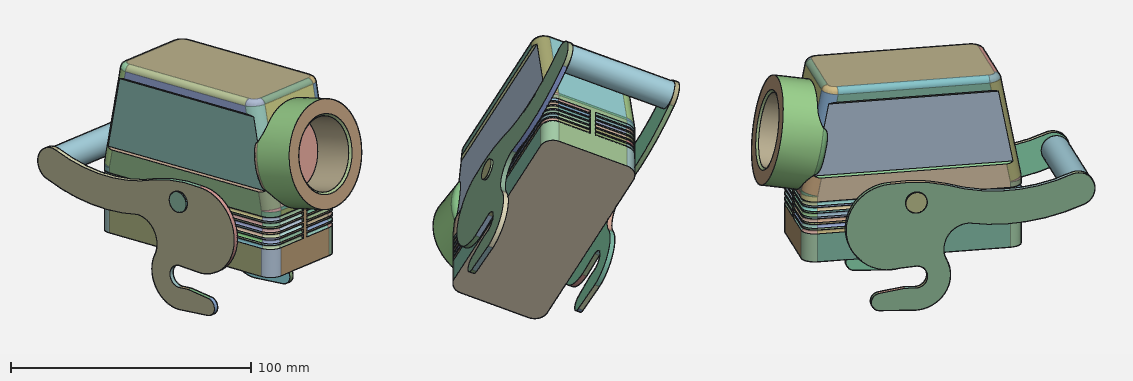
import cadquery as cq
import math


BODY_LENGTH = 93.7
BODY_WIDTH = 43.1
BODY_HEIGHT = 76.2
TAPER_START = 29.6
TAPER_ANGLE = 11.1
BEND_RADIUS = 6.9
CORNER_RADIUS = 5.8
TOP_RADIUS = 2.6

PANEL_BOTTOM = 37.1
PANEL_TOP = 70.2
PANEL_DEPTH = 0.8

GROOVE_COUNT = 6
LOWEST_GROOVE_Z = 13.3
GROOVE_PITCH = 2.5
GROOVE_RADIUS = 0.8
END_RIB_WIDTH = 2.5

ENTRY_TILT = 11.3
ENTRY_X = 57.8
ENTRY_Z = 52.1
ENTRY_RADIUS = 23.1
ENTRY_LENGTH = 20.6
ENTRY_BACK_RADIUS = 2.9
BORE_RADIUS = 16.0
BORE_DEPTH = 18.0
BORE_CHAMFER = 1.0

PIVOT_Z = 24.8
PLATE_OUTER_Y = 25.8
PLATE_THICKNESS = 2.2
PIN_RADIUS = 2.5
PIN_HEAD_RADIUS = 4.6
PIN_HEAD_OUTER_Y = 26.6
BAR_X = -70.1
BAR_RADIUS = 6.1

GRIP_CENTER = (-68.9, 0.3)
GRIP_RADIUS = 7.3
GRIP_TOP_ANGLE = 71
GRIP_BOTTOM_ANGLE = 253.5
NECK_TOP_MIDDLE = (-39.9, 2.1)
NECK_TOP_END = (-13.3, 6.5)
SHOULDER_MIDDLE = (-0.7, 8.9)
NECK_BOTTOM_MIDDLE = (-45.3, -12.5)
CAM_CENTER = (10.8, -10.1)
CAM_RADIUS = 19.0
CAM_END_ANGLE = -86
HOOK_CENTER = (0, -33.2)
HOOK_RADIUS = 14.7
SLOT_RADIUS = 4.8
TIP_CENTER = (15.2, -43.1)
TIP_RADIUS = 3.9
TIP_TOP_ANGLE = 78
TIP_BOTTOM_ANGLE = -84
SLOT_LIP = (4.8, -37.8)
NOTCH_CENTER = (-22.5, -21.6)


def polar(center, radius, angle):
    """Point on a circle, with the angle in degrees."""
    a = math.radians(angle)
    return (center[0] + radius * math.cos(a), center[1] + radius * math.sin(a))


def make_housing():
    inset = (BODY_HEIGHT - TAPER_START) * math.tan(math.radians(TAPER_ANGLE))
    half = BODY_LENGTH / 2
    body = (
        cq.Workplane("XZ")
        .moveTo(-half, 0)
        .lineTo(half, 0)
        .lineTo(half, TAPER_START)
        .lineTo(half - inset, BODY_HEIGHT)
        .lineTo(-half + inset, BODY_HEIGHT)
        .lineTo(-half, TAPER_START)
        .close()
        .extrude(BODY_WIDTH / 2, both=True)
    )
    bends = cq.selectors.BoxSelector(
        (-BODY_LENGTH, -BODY_WIDTH, TAPER_START - BEND_RADIUS),
        (BODY_LENGTH, BODY_WIDTH, TAPER_START + BEND_RADIUS),
    )
    body = body.edges("|Y").edges(bends).fillet(BEND_RADIUS)
    body = body.faces("<Y or >Y").edges("not #Z").fillet(CORNER_RADIUS)
    return body.faces(">Z").edges().fillet(TOP_RADIUS)


def make_panel_cutter(side):
    """Bar along X with 45 degree flanks, sunk into the side at +Y (1) or -Y (-1)."""
    surface = side * BODY_WIDTH / 2
    floor = side * (BODY_WIDTH / 2 - PANEL_DEPTH)
    return (
        cq.Workplane("YZ")
        .moveTo(surface, PANEL_BOTTOM)
        .lineTo(surface, PANEL_TOP)
        .lineTo(floor, PANEL_TOP - PANEL_DEPTH)
        .lineTo(floor, PANEL_BOTTOM + PANEL_DEPTH)
        .close()
        .extrude(BODY_LENGTH / 2, both=True)
    )


def make_groove(center_z):
    """Round bead following the housing outline, interrupted by a rib on each end face."""
    outline = cq.Sketch().rect(BODY_LENGTH, BODY_WIDTH).vertices().fillet(CORNER_RADIUS)
    path = outline.reset().faces().val().outerWire().translate(cq.Vector(0, 0, center_z))
    bead = (
        cq.Workplane("YZ", origin=(0, -BODY_WIDTH / 2, center_z))
        .circle(GROOVE_RADIUS)
        .sweep(cq.Workplane(path))
    )
    rib_length = BODY_LENGTH + 4 * GROOVE_RADIUS
    rib_height = 4 * GROOVE_RADIUS
    ribs = cq.Workplane("XY", origin=(0, 0, center_z)).box(rib_length, END_RIB_WIDTH, rib_height)
    return bead.cut(ribs)


def entry_plane():
    """Plane of the entry's end face, with its normal pointing out of the bore."""
    tilt = math.radians(ENTRY_TILT)
    return cq.Plane(
        origin=(ENTRY_X, 0, ENTRY_Z),
        xDir=(0, 1, 0),
        normal=(math.cos(tilt), 0, math.sin(tilt)),
    )


def make_entry():
    tube = cq.Workplane(entry_plane()).circle(ENTRY_RADIUS).extrude(-ENTRY_LENGTH)
    return tube.faces("<X").edges().fillet(ENTRY_BACK_RADIUS)


def make_bore():
    bore = cq.Workplane(entry_plane()).circle(BORE_RADIUS).extrude(-BORE_DEPTH)
    rim = (
        cq.Workplane(entry_plane())
        .circle(BORE_RADIUS + BORE_CHAMFER)
        .workplane(offset=-BORE_CHAMFER)
        .circle(BORE_RADIUS)
        .loft()
    )
    return bore.union(rim)


def make_lever_plate():
    """One lever plate, its outer face on Y = -PLATE_OUTER_Y."""
    hook_to_notch = (NOTCH_CENTER[0] - HOOK_CENTER[0], NOTCH_CENTER[1] - HOOK_CENTER[1])
    notch_radius = math.hypot(*hook_to_notch) - HOOK_RADIUS
    touch_angle = math.degrees(math.atan2(hook_to_notch[1], hook_to_notch[0]))
    touch_point = polar(HOOK_CENTER, HOOK_RADIUS, touch_angle)
    hook_middle_angle = (270 + touch_angle) / 2
    notch_middle_angle = (90 + touch_angle - 180) / 2

    return (
        cq.Workplane("XZ", origin=(0, -PLATE_OUTER_Y + PLATE_THICKNESS, PIVOT_Z))
        .moveTo(*polar(GRIP_CENTER, GRIP_RADIUS, GRIP_TOP_ANGLE))
        .threePointArc(NECK_TOP_MIDDLE, NECK_TOP_END)
        .threePointArc(SHOULDER_MIDDLE, polar(CAM_CENTER, CAM_RADIUS, 90))
        .threePointArc(polar(CAM_CENTER, CAM_RADIUS, 0), polar(CAM_CENTER, CAM_RADIUS, CAM_END_ANGLE))
        .lineTo(*polar(HOOK_CENTER, SLOT_RADIUS, 90))
        .threePointArc(polar(HOOK_CENTER, SLOT_RADIUS, 180), polar(HOOK_CENTER, SLOT_RADIUS, 270))
        .lineTo(*SLOT_LIP)
        .lineTo(*polar(TIP_CENTER, TIP_RADIUS, TIP_TOP_ANGLE))
        .threePointArc(polar(TIP_CENTER, TIP_RADIUS, 0), polar(TIP_CENTER, TIP_RADIUS, TIP_BOTTOM_ANGLE))
        .lineTo(*polar(HOOK_CENTER, HOOK_RADIUS, 270))
        .threePointArc(polar(HOOK_CENTER, HOOK_RADIUS, hook_middle_angle), touch_point)
        .threePointArc(
            polar(NOTCH_CENTER, notch_radius, notch_middle_angle),
            polar(NOTCH_CENTER, notch_radius, 90),
        )
        .threePointArc(NECK_BOTTOM_MIDDLE, polar(GRIP_CENTER, GRIP_RADIUS, GRIP_BOTTOM_ANGLE))
        .threePointArc(
            polar(GRIP_CENTER, GRIP_RADIUS, 180),
            polar(GRIP_CENTER, GRIP_RADIUS, GRIP_TOP_ANGLE),
        )
        .close()
        .extrude(PLATE_THICKNESS)
    )


def make_pin():
    """Pivot pin on the -Y side, from inside the housing wall to its head."""
    root_y = BODY_WIDTH / 2 - 2 * GROOVE_RADIUS
    shaft = (
        cq.Workplane("XZ", origin=(0, -root_y, PIVOT_Z))
        .circle(PIN_RADIUS)
        .extrude(PLATE_OUTER_Y - root_y)
    )
    head = (
        cq.Workplane("XZ", origin=(0, -PLATE_OUTER_Y, PIVOT_Z))
        .circle(PIN_HEAD_RADIUS)
        .extrude(PIN_HEAD_OUTER_Y - PLATE_OUTER_Y)
    )
    return shaft.union(head)


def make_handle_bar():
    inner_y = PLATE_OUTER_Y - PLATE_THICKNESS
    return (
        cq.Workplane("XZ", origin=(BAR_X, 0, PIVOT_Z))
        .circle(BAR_RADIUS)
        .extrude(inner_y, both=True)
    )


housing = make_housing()
for side in (-1, 1):
    housing = housing.cut(make_panel_cutter(side))
for i in range(GROOVE_COUNT):
    housing = housing.cut(make_groove(LOWEST_GROOVE_Z + i * GROOVE_PITCH))
housing = housing.union(make_entry()).cut(make_bore())

lever_side = make_lever_plate().union(make_pin())
lever = lever_side.union(make_handle_bar()).union(lever_side.mirror("XZ"))

result = housing.union(lever)